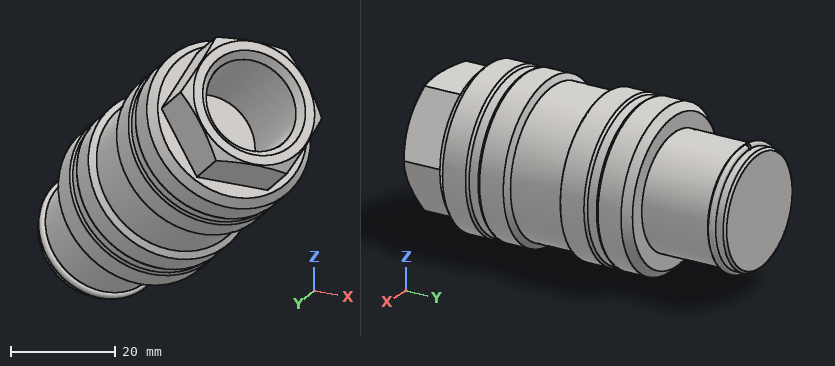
import cadquery as cq
import math

OVERALL_LENGTH = 72.5

HEX_ACROSS_FLATS = 25.95
HEX_LENGTH = 9.9
HEX_FACE_RADIUS = 12.8
HEX_CHAMFER_ANGLE = 30.0
BORE_RADIUS = 9.5
BORE_CHAMFER = 1.4
BORE_DEPTH = 20.0

SLEEVE_RADIUS = 17.365
SLEEVE_LENGTH = 43.65
SLEEVE_END_CHAMFER = 1.6
WAIST_RADIUS = 16.0
WAIST_CHAMFER_LENGTH = 0.8
BAND_LENGTH = 16.2
GROOVE_RADIUS = 17.0
GROOVE_START = 6.8
GROOVE_WIDTH = 3.2
GROOVE_CHAMFER_LENGTH = 0.6

SPIGOT_RADIUS = 12.4
SPIGOT_CHAMFER = 0.5
RING_WIRE_RADIUS = 0.7
RING_OUTER_RADIUS = 13.3
RING_CENTER_Y = 69.6
RING_GAP = 0.7
RING_SEAT_CLEARANCE = 0.35

ring_path_radius = RING_OUTER_RADIUS - RING_WIRE_RADIUS
ring_seat_radius = ring_path_radius - RING_WIRE_RADIUS


def revolve_about_y(points):
    """Revolve a closed (radius, y) outline about the Y axis."""
    return cq.Workplane("XY").polyline(points).close().revolve(360, (0, 0, 0), (0, 1, 0))


def make_hex():
    corner_radius = HEX_ACROSS_FLATS / math.sqrt(3)
    slope = math.tan(math.radians(HEX_CHAMFER_ANGLE))
    chamfer_depth = (corner_radius - HEX_FACE_RADIUS) * slope
    prism = cq.Workplane("XZ").polygon(6, 2 * corner_radius).extrude(-HEX_LENGTH)
    chamfer_envelope = revolve_about_y([
        (0, 0),
        (HEX_FACE_RADIUS, 0),
        (corner_radius, chamfer_depth),
        (corner_radius, HEX_LENGTH),
        (0, HEX_LENGTH),
    ])
    return prism.intersect(chamfer_envelope)


def band_profile():
    """Grip band outline as (radius, distance from the band's outer end)."""
    groove_end = GROOVE_START + GROOVE_WIDTH
    return [
        (SLEEVE_RADIUS - SLEEVE_END_CHAMFER, 0),
        (SLEEVE_RADIUS, SLEEVE_END_CHAMFER),
        (SLEEVE_RADIUS, GROOVE_START),
        (GROOVE_RADIUS, GROOVE_START + GROOVE_CHAMFER_LENGTH),
        (GROOVE_RADIUS, groove_end - GROOVE_CHAMFER_LENGTH),
        (SLEEVE_RADIUS, groove_end),
        (SLEEVE_RADIUS, BAND_LENGTH - WAIST_CHAMFER_LENGTH),
        (WAIST_RADIUS, BAND_LENGTH),
    ]


def make_sleeve():
    start = HEX_LENGTH
    end = HEX_LENGTH + SLEEVE_LENGTH
    front_band = [(r, start + d) for r, d in band_profile()]
    rear_band = [(r, end - d) for r, d in reversed(band_profile())]
    return revolve_about_y([(0, start)] + front_band + rear_band + [(0, end)])


def make_spigot():
    start = HEX_LENGTH + SLEEVE_LENGTH
    seat_start = RING_CENTER_Y - RING_WIRE_RADIUS - RING_SEAT_CLEARANCE
    seat_end = RING_CENTER_Y + RING_WIRE_RADIUS
    return revolve_about_y([
        (0, start),
        (SPIGOT_RADIUS, start),
        (SPIGOT_RADIUS, seat_start),
        (ring_seat_radius, seat_start),
        (ring_seat_radius, seat_end),
        (SPIGOT_RADIUS, seat_end),
        (SPIGOT_RADIUS, OVERALL_LENGTH - SPIGOT_CHAMFER),
        (SPIGOT_RADIUS - SPIGOT_CHAMFER, OVERALL_LENGTH),
        (0, OVERALL_LENGTH),
    ])


def make_bore():
    """Blind bore with a chamfered mouth."""
    return revolve_about_y([
        (0, 0),
        (BORE_RADIUS + BORE_CHAMFER, 0),
        (BORE_RADIUS, BORE_CHAMFER),
        (BORE_RADIUS, BORE_DEPTH),
        (0, BORE_DEPTH),
    ])


def make_coupling():
    return make_hex().union(make_sleeve()).union(make_spigot()).cut(make_bore())


def make_snap_ring():
    """Round-wire ring, split at the top (+Z)."""
    ring = (
        cq.Workplane("XY")
        .center(ring_path_radius, RING_CENTER_Y)
        .circle(RING_WIRE_RADIUS)
        .revolve(360, (-ring_path_radius, 0, 0), (-ring_path_radius, 1, 0))
    )
    wire_width = 2 * RING_WIRE_RADIUS
    gap = cq.Workplane("XY").box(RING_GAP, 2 * wire_width, 2 * wire_width)
    return ring.cut(gap.translate((0, RING_CENTER_Y, ring_path_radius)))


coupling = make_coupling()
snap_ring = make_snap_ring()

result = cq.Compound.makeCompound([coupling.val(), snap_ring.val()])